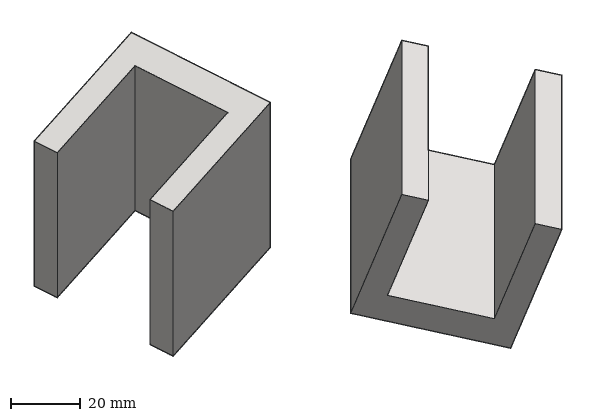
import cadquery as cq

width = 48.0
depth = 50.0
height = 63.0

side_wall = 8.0
back_wall = 10.0

channel_width = width - 2 * side_wall
channel_depth = depth - back_wall

block = cq.Workplane("XY").box(width, depth, height)
channel = (
    cq.Workplane("XY")
    .box(channel_width, channel_depth, height)
    .translate((0, -back_wall / 2, 0))
)

result = block.cut(channel)